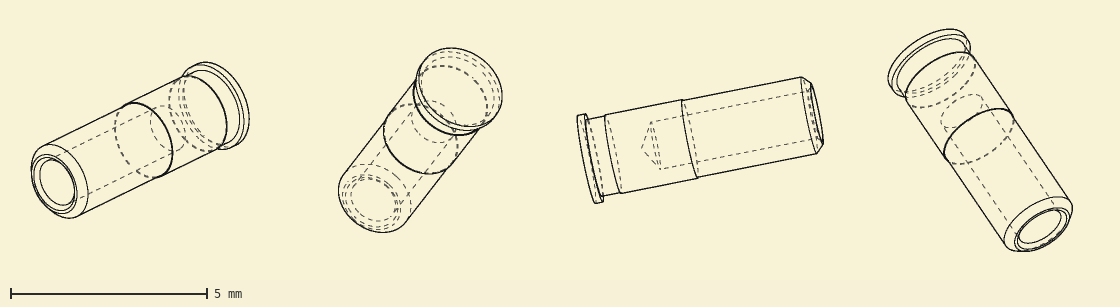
import cadquery as cq
import math

total_length = 6.0
flange_diameter = 2.3
flange_thickness = 0.2
body_diameter = 2.0
band_diameter = 2.05
band_length = 2.005
neck_length = 0.49
tip_chamfer = 0.2

bore_diameter = 1.225
bore_depth = 4.2
drill_point_angle = 118.0
mouth_diameter = 1.44

body_radius = body_diameter / 2
bore_radius = bore_diameter / 2
mouth_radius = mouth_diameter / 2
mouth_depth = mouth_radius - bore_radius
flange_start = total_length - flange_thickness
band_end = flange_start - neck_length
band_start = band_end - band_length
drill_point_length = bore_radius / math.tan(math.radians(drill_point_angle / 2))


def revolve_about_y(profile):
    """Turn a closed (radius, y) profile into a solid of revolution."""
    return cq.Workplane("XY").polyline(profile).close().revolve(360, (0, 0), (0, 1))


def cylinder(diameter, start, end):
    """Round solid on the Y axis between two positions."""
    radius = diameter / 2
    return revolve_about_y([(0, start), (radius, start), (radius, end), (0, end)])


def make_body():
    """Full-length barrel with a chamfered tip."""
    return revolve_about_y([
        (0, 0),
        (body_radius - tip_chamfer, 0),
        (body_radius, tip_chamfer),
        (body_radius, total_length),
        (0, total_length),
    ])


def make_bore():
    """Blind hole with a countersunk mouth and a conical drill point."""
    return revolve_about_y([
        (0, 0),
        (mouth_radius, 0),
        (bore_radius, mouth_depth),
        (bore_radius, bore_depth),
        (0, bore_depth + drill_point_length),
    ])


band = cylinder(band_diameter, band_start, band_end)
flange = cylinder(flange_diameter, flange_start, total_length)

result = make_body().union(band).union(flange).cut(make_bore())